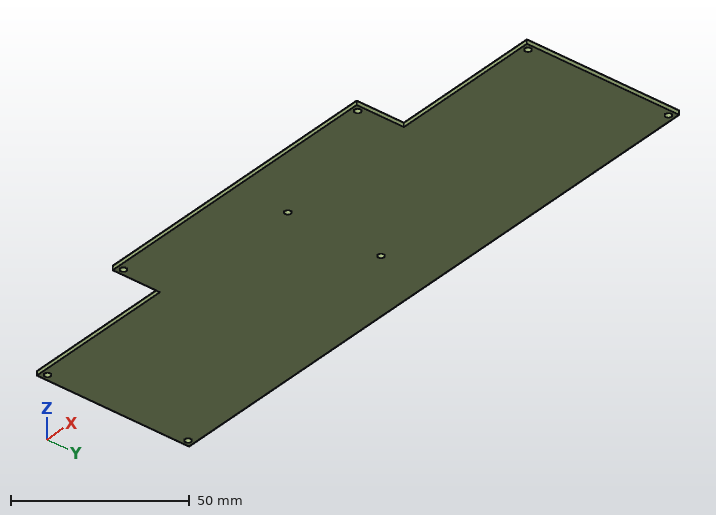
import cadquery as cq

plate_length = 214.5
total_width = 72.5
thickness = 1.5

tab_length = 106.8
tab_width = 17.2
plate_width = total_width - tab_width

hole_diameter = 2.1
hole_inset = 2.1
center_hole_setback = 19.3

rear_y = total_width / 2
front_y = -total_width / 2
shoulder_y = rear_y - plate_width

plate = cq.Workplane("XY").box(plate_length, plate_width, thickness).translate(
    (0, rear_y - plate_width / 2, 0)
)
tab = cq.Workplane("XY").box(tab_length, total_width, thickness)

plate_hole_x = plate_length / 2 - hole_inset
tab_hole_x = tab_length / 2 - hole_inset
rear_hole_y = rear_y - hole_inset
shoulder_hole_y = shoulder_y + hole_inset
tab_hole_y = front_y + hole_inset

hole_centers = [
    (0, rear_y - center_hole_setback),
    (0, shoulder_hole_y),
]
for side in (-1, 1):
    hole_centers.append((side * plate_hole_x, rear_hole_y))
    hole_centers.append((side * plate_hole_x, shoulder_hole_y))
    hole_centers.append((side * tab_hole_x, tab_hole_y))

holes = (
    cq.Workplane("XY")
    .pushPoints(hole_centers)
    .circle(hole_diameter / 2)
    .extrude(thickness, both=True)
)

result = plate.union(tab).cut(holes)